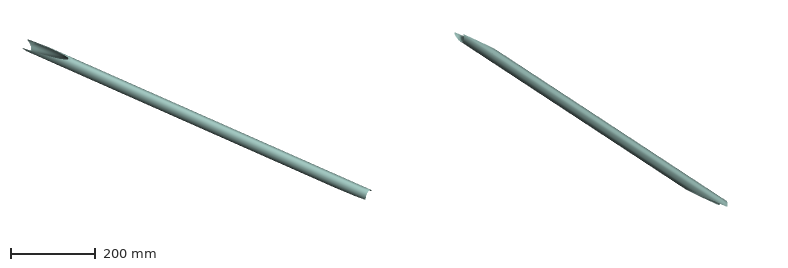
import cadquery as cq
import math


outer_radius = 15.0
wall_thickness = 1.5
slope_y = 0.213
slope_z = -0.2339

node_x = 444.0
stock_overrun = 60.0

rail_angle = 13.7
rail_roll = -22.0
upright_angle = 103.0
upright_roll = -12.0
cope_clearance = 0.016
cope_radius = outer_radius + cope_clearance
rail_half_length = 400.0
upright_half_length = 200.0

axis = cq.Vector(1, slope_y, slope_z).normalized()
up = (cq.Vector(0, 0, 1) - axis * axis.z).normalized()
side = up.cross(axis)

node = cq.Vector(1, slope_y, slope_z) * node_x


def tilted_direction(angle, roll):
    """Unit vector at an angle to the brace axis, rolled about that axis."""
    angle = math.radians(angle)
    roll = math.radians(roll)
    radial = up * math.cos(roll) + side * math.sin(roll)
    return axis * math.cos(angle) + radial * math.sin(angle)


def rod(center, direction, half_length):
    """Solid cope cylinder centred on a point."""
    start = center - direction * half_length
    return cq.Solid.makeCylinder(cope_radius, 2 * half_length, start, direction)


def brace_tube():
    """Square-ended tube that runs past both nodes."""
    half_length = node.Length + stock_overrun
    end_plane = cq.Plane(origin=axis * -half_length, xDir=up, normal=axis)
    return (
        cq.Workplane(end_plane)
        .circle(outer_radius)
        .circle(outer_radius - wall_thickness)
        .extrude(2 * half_length)
    )


def cope(tube, center):
    """Cut away what lies inside the rail and the upright at one node."""
    rail = rod(center, tilted_direction(rail_angle, rail_roll), rail_half_length)
    upright = rod(center, tilted_direction(upright_angle, upright_roll), upright_half_length)
    return tube.cut(cq.Workplane(rail)).cut(cq.Workplane(upright))


coped = brace_tube()
for node_center in (node, -node):
    coped = cope(coped, node_center)

brace = max(coped.solids().vals(), key=lambda piece: piece.Volume())
result = cq.Workplane(brace)